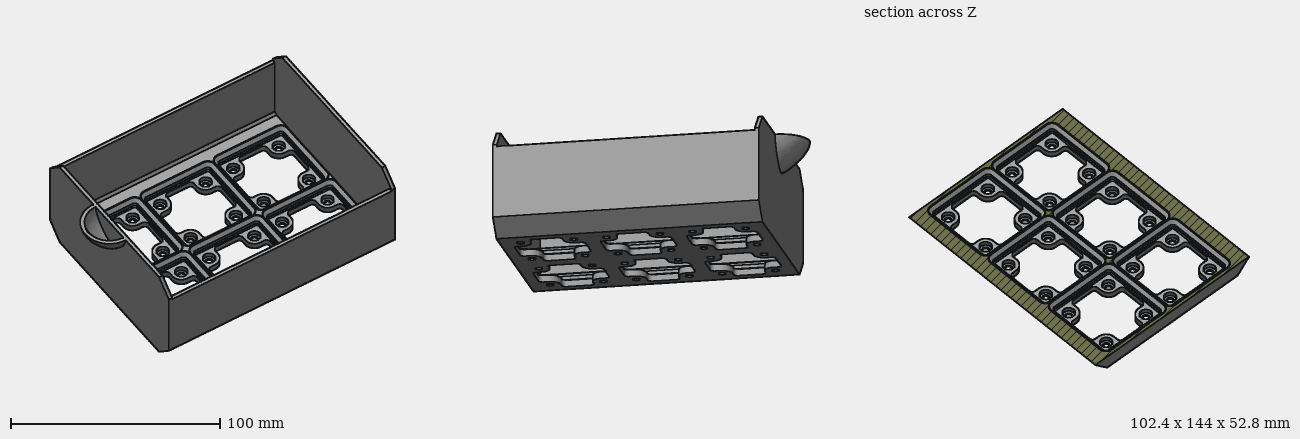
import cadquery as cq
import math

COLUMNS = 2
ROWS = 3
INNER_LENGTH = 126.0
PITCH = INNER_LENGTH / ROWS
LIP_DEPTH = 0.25
LIP_CORNER_RADIUS = 4.0
LEDGE = 0.3
UPPER_CHAMFER = 1.9
STRAIGHT_DEPTH = 1.7
LOWER_CHAMFER = 0.65

PAD_THICKNESS = 3.3
WINDOW_SIZE = 34.5
WINDOW_FILLET = 2.0
HOLE_SPACING = 26.0
BOSS_RADIUS = 5.2
SCREW_DIAMETER = 3.5
MAGNET_DIAMETER = 6.2
MAGNET_DEPTH = 2.3

WIDTH = 102.4
HEIGHT = 52.8
WALL = 2.0
CORNER_CHAMFER = 8.4
CORNER_BEND = math.radians(45)
SOCKET_DEPTH = LIP_DEPTH + UPPER_CHAMFER + STRAIGHT_DEPTH + LOWER_CHAMFER
FLOOR_TOP = PAD_THICKNESS + SOCKET_DEPTH
LENGTH = INNER_LENGTH + 2 * WALL
FRONT_Y = -LENGTH / 2

OVERALL_LENGTH = 144.0
HANDLE_REACH = OVERALL_LENGTH - LENGTH
HANDLE_DEPTH = 15.4
HANDLE_WALL = 2.0
HANDLE_SECTIONS = 8
HANDLE_TIP = 0.98
PROFILE_POWER = 1.6
WIDTH_POWER = 0.7

socket_centers = [
    ((column - (COLUMNS - 1) / 2) * PITCH, (row - (ROWS - 1) / 2) * PITCH)
    for column in range(COLUMNS)
    for row in range(ROWS)
]


def make_tray():
    """Octagonal end plates joined by a floor and two lower side walls."""
    outer = (
        cq.Workplane("XY")
        .box(WIDTH, LENGTH, HEIGHT, centered=(True, True, False))
        .edges("|Y")
        .chamfer(CORNER_CHAMFER)
    )
    wall_bend = CORNER_CHAMFER + WALL * math.tan(CORNER_BEND / 2)
    half_width = WIDTH / 2 - WALL
    slope_run = wall_bend - FLOOR_TOP
    cavity_outline = [
        (half_width - slope_run, FLOOR_TOP),
        (half_width, wall_bend),
        (half_width, HEIGHT),
        (-half_width, HEIGHT),
        (-half_width, wall_bend),
        (slope_run - half_width, FLOOR_TOP),
    ]
    cavity = cq.Workplane("XZ").polyline(cavity_outline).close().extrude(INNER_LENGTH / 2, both=True)
    above_side_walls = (
        cq.Workplane("XY")
        .workplane(offset=HEIGHT - wall_bend)
        .rect(WIDTH, INNER_LENGTH)
        .extrude(wall_bend)
    )
    return outer.cut(cavity).cut(above_side_walls)


def rounded_frustum(size, radius, inset, top_z, depth):
    """Rounded square at top_z, tapering inwards by inset over the depth."""
    taper = math.degrees(math.atan2(inset, depth))
    sketch = cq.Sketch().rect(size, size).vertices().fillet(radius)
    return cq.Workplane("XY").workplane(offset=top_z).placeSketch(sketch).extrude(-depth, taper=taper)


def make_socket():
    """Stepped recess: shallow lip, chamfer, vertical band, chamfer."""
    rim_size = PITCH - 2 * LEDGE
    rim_radius = LIP_CORNER_RADIUS - LEDGE
    rim_z = FLOOR_TOP - LIP_DEPTH
    band_size = rim_size - 2 * UPPER_CHAMFER
    band_radius = rim_radius - UPPER_CHAMFER
    band_top = rim_z - UPPER_CHAMFER
    band_bottom = band_top - STRAIGHT_DEPTH
    lip = rounded_frustum(PITCH, LIP_CORNER_RADIUS, 0, FLOOR_TOP, LIP_DEPTH)
    lead_in = rounded_frustum(rim_size, rim_radius, UPPER_CHAMFER, rim_z, UPPER_CHAMFER)
    band = rounded_frustum(band_size, band_radius, 0, band_top, STRAIGHT_DEPTH)
    foot = rounded_frustum(band_size, band_radius, LOWER_CHAMFER, band_bottom, LOWER_CHAMFER)
    return lip.union(lead_in).union(band).union(foot)


def make_window():
    """Cross-shaped through window that leaves a rounded boss around each corner hole."""
    arm_width = HOLE_SPACING - 2 * BOSS_RADIUS

    def make_arm(x_size, y_size):
        return (
            cq.Workplane("XY")
            .box(x_size, y_size, PAD_THICKNESS, centered=(True, True, False))
            .edges("|Z")
            .fillet(WINDOW_FILLET)
        )

    cross = make_arm(WINDOW_SIZE, arm_width).union(make_arm(arm_width, WINDOW_SIZE))
    middle = cq.selectors.BoxSelector(
        (-arm_width, -arm_width, 0), (arm_width, arm_width, PAD_THICKNESS)
    )
    return cross.edges("|Z").edges(middle).fillet(BOSS_RADIUS)


def make_holes():
    """Four screw holes, each with a magnet counterbore from the pad's top."""

    def make_bores(diameter, depth):
        return (
            cq.Workplane("XY")
            .workplane(offset=PAD_THICKNESS - depth)
            .rect(HOLE_SPACING, HOLE_SPACING, forConstruction=True)
            .vertices()
            .circle(diameter / 2)
            .extrude(depth)
        )

    screws = make_bores(SCREW_DIAMETER, PAD_THICKNESS)
    magnets = make_bores(MAGNET_DIAMETER, MAGNET_DEPTH)
    return screws.union(magnets)


def make_scoop(radius, depth):
    """Half bowl in front of the wall, its half-elliptical sections growing upwards from the tip."""
    step = HANDLE_TIP * depth / (HANDLE_SECTIONS - 1)
    tip_z = HEIGHT - HANDLE_TIP * depth
    bowl = cq.Workplane("XY", origin=(0, FRONT_Y, tip_z))
    for index in range(HANDLE_SECTIONS):
        if index > 0:
            bowl = bowl.workplane(offset=step)
        fraction = HANDLE_TIP - index * step / depth
        shrink = 1 - max(fraction, 0) ** PROFILE_POWER
        reach = radius * shrink
        half_width = radius * shrink ** WIDTH_POWER
        bowl = bowl.ellipse(reach, half_width, rotation_angle=90)
    front_half = (
        cq.Workplane("XY")
        .box(2 * radius, radius, HEIGHT, centered=(True, False, False))
        .translate((0, FRONT_Y - radius, 0))
    )
    return bowl.loft().intersect(front_half)


def make_handle():
    """Hollow scoop, open at the top."""
    outer = make_scoop(HANDLE_REACH, HANDLE_DEPTH)
    inner_scale = 1 - HANDLE_WALL / HANDLE_REACH
    inner = make_scoop(HANDLE_REACH - HANDLE_WALL, HANDLE_DEPTH * inner_scale)
    return outer.cut(inner)


cell_cutter = make_socket().union(make_window()).union(make_holes())
result = make_tray()
for x, y in socket_centers:
    result = result.cut(cell_cutter.translate((x, y, 0)))
result = result.union(make_handle())